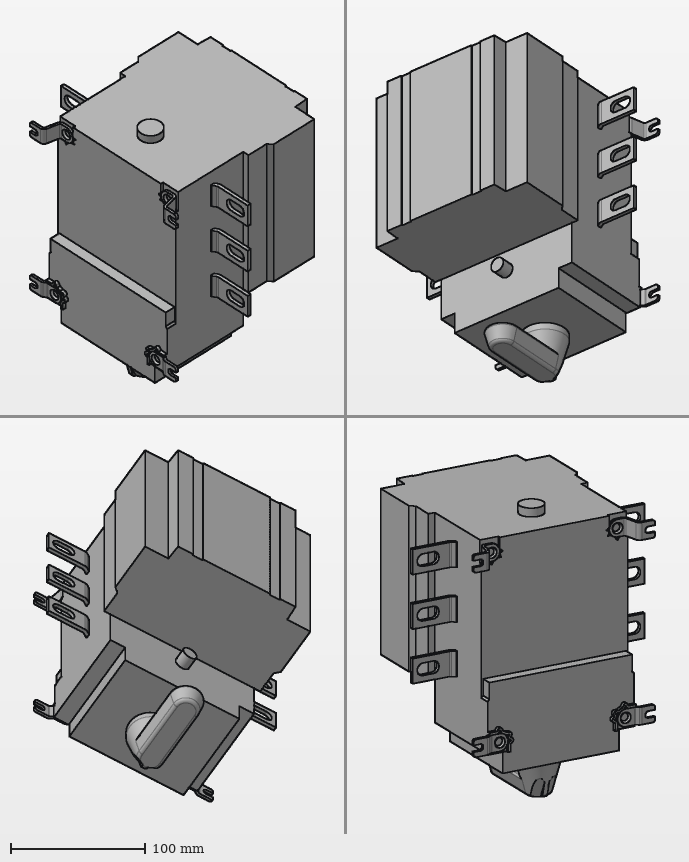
import cadquery as cq
import math


SIDE_X = 125.5 / 2
MECHANISM_X = 50.0
TOP_Z = 184.0
SHOULDER_Z = 17.2
MAIN_FRONT_Y = 9.3
MAIN_BACK_Y = 79.7
COVER_TOP_Z = 74.2
COVER_UPPER_X = 61.3
COVER_SLOPE_Z = (59.2, 60.8)

BLOCK_BOTTOM_Z = 52.2
BLOCK_NECK_X = 68.3
BLOCK_X = 144.5 / 2
BLOCK_CHAMFER_Y = (98.5, 102.4)
BLOCK_BACK_Y = 144.5
BACK_ROOT_X = 52.0
BACK_X = 51.3
BACK_Y = 157.5
BACK_GROOVE_X = (29.3, 38.0)
BACK_GROOVE_DEPTH = 1.0

STUD_RADIUS = 10.0
STUD_TOP_Z = 191.0
STUD_Y = 44.5

TERMINAL_PITCH = 43.3
TERMINAL_MIDDLE_Z = 118.0
TERMINAL_WIDTH = 20.0
TERMINAL_THICKNESS = 3.2
TERMINAL_TIP_X = 198.5 / 2
TERMINAL_BACK_Y = 51.5
TERMINAL_BEND_X = 68.0
TERMINAL_BEND_RADIUS = 2.7
TERMINAL_BEND_ANGLE = math.radians(34)
TERMINAL_END_Y = 45.8
TERMINAL_SLOT_LENGTH = 18.5
TERMINAL_SLOT_WIDTH = 10.0
TERMINAL_SLOT_X = 86.2

FOOT_X = 107.8 / 2
UPPER_FOOT_Z = 173.0
LOWER_FOOT_Z = 26.3
FOOT_THICKNESS = 2.3
FOOT_WIDTH = 14.0
FOOT_TIP_X = 77.8
FOOT_FRONT_Y = -5.5
FOOT_TIP_RADIUS = 2.3
FOOT_BEND_RADIUS = 1.4
FORK_WIDTH = 5.5
FORK_CENTRE_X = 72.2
HOLE_RADIUS = 3.2
COUNTERSINK_RADIUS = 4.3
DEEP_LEG_X = (60.1, 63.5)
SHALLOW_LEG_X = (61.5, 65.1)
NOTCH_TIP_RADIUS = 9.5
NOTCH_HALF_ANGLE = math.radians(33)
NOTCH_ANGLES = (0, 30, 90)
PAD_FRONT_Y = FOOT_FRONT_Y + FOOT_THICKNESS
PAD_WALL = 2.0

SHAFT_RADIUS = 6.0
SHAFT_Z = 35.0
SHAFT_END_Y = 90.8

HANDLE_Y = 34.3
HUB_RADIUS = 36.5 / 2
COLLAR_Z = -5.5
HANDLE_BOTTOM_Z = -35.9
DRAFT = math.radians(15.3)
LEVER_TOP_Z = -21.0
LEVER_END_Y = 84.5
LEVER_TOP_ROUND = 1.4
LEVER_INSET = 0.02
HANDLE_BOTTOM_ROUND = 3.2
POINTER_HALF_WIDTH = 2.0
POINTER_TOP_Z = -20.0
FLAT_TOP_Z = -18.5
FLAT_DEPTH = 2.5
FLAT_ANGLE = 25


def box(x, y, z):
    """Box between the (low, high) pairs of the three axes."""
    size = [high - low for low, high in (x, y, z)]
    return cq.Workplane("XY").box(*size, centered=False).translate((x[0], y[0], z[0]))


def mirrored_outline(half):
    """Closed outline from the points of its +X half."""
    return half + [(-x, y) for x, y in reversed(half)]


def both_sides(shape):
    """A +X feature together with its mirror image."""
    return shape.union(shape.mirror("YZ"))




def main_body():
    body = box((-SIDE_X, SIDE_X), (MAIN_FRONT_Y, MAIN_BACK_Y), (SHOULDER_Z, TOP_Z))
    bottom_end = box((-MECHANISM_X, MECHANISM_X), (0, MAIN_BACK_Y), (0, SHOULDER_Z))
    cover_half = [
        (SIDE_X, SHOULDER_Z),
        (SIDE_X, COVER_SLOPE_Z[0]),
        (COVER_UPPER_X, COVER_SLOPE_Z[1]),
        (COVER_UPPER_X, COVER_TOP_Z),
    ]
    cover = cq.Workplane("XZ").polyline(mirrored_outline(cover_half)).close().extrude(-MAIN_FRONT_Y)
    return body.union(bottom_end).union(cover)


def rear_block():
    groove_floor_y = BACK_Y - BACK_GROOVE_DEPTH
    half = [
        (BLOCK_NECK_X, MAIN_BACK_Y),
        (BLOCK_NECK_X, BLOCK_CHAMFER_Y[0]),
        (BLOCK_X, BLOCK_CHAMFER_Y[1]),
        (BLOCK_X, BLOCK_BACK_Y),
        (BACK_ROOT_X, BLOCK_BACK_Y),
        (BACK_X, BACK_Y),
        (BACK_GROOVE_X[1], BACK_Y),
        (BACK_GROOVE_X[1], groove_floor_y),
        (BACK_GROOVE_X[0], groove_floor_y),
        (BACK_GROOVE_X[0], BACK_Y),
    ]
    outline = cq.Workplane("XY").workplane(offset=BLOCK_BOTTOM_Z).polyline(mirrored_outline(half)).close()
    return outline.extrude(TOP_Z - BLOCK_BOTTOM_Z)


def top_stud():
    base = cq.Workplane("XY").workplane(offset=TOP_Z).center(0, STUD_Y)
    return base.circle(STUD_RADIUS).extrude(STUD_TOP_Z - TOP_Z)


def terminal(z):
    """Slotted flat bar on the +X side, bent forward where it enters the housing."""
    inner_radius = TERMINAL_BEND_RADIUS
    outer_radius = inner_radius + TERMINAL_THICKNESS
    centre_y = TERMINAL_BACK_Y - outer_radius

    def bend_point(radius, angle):
        return TERMINAL_BEND_X - radius * math.sin(angle), centre_y + radius * math.cos(angle)

    slope = math.tan(TERMINAL_BEND_ANGLE)
    root_x = SIDE_X - TERMINAL_THICKNESS
    half_angle = TERMINAL_BEND_ANGLE / 2
    outer = bend_point(outer_radius, TERMINAL_BEND_ANGLE)
    inner = bend_point(inner_radius, TERMINAL_BEND_ANGLE)
    profile = (
        cq.Workplane("XY")
        .moveTo(TERMINAL_TIP_X, TERMINAL_BACK_Y)
        .lineTo(TERMINAL_BEND_X, TERMINAL_BACK_Y)
        .threePointArc(bend_point(outer_radius, half_angle), outer)
        .lineTo(root_x, outer[1] - (outer[0] - root_x) * slope)
        .lineTo(root_x, TERMINAL_END_Y)
        .lineTo(inner[0] - (inner[1] - TERMINAL_END_Y) / slope, TERMINAL_END_Y)
        .lineTo(*inner)
        .threePointArc(bend_point(inner_radius, half_angle), bend_point(inner_radius, 0))
        .lineTo(TERMINAL_TIP_X, centre_y + inner_radius)
        .close()
    )
    bar = profile.extrude(TERMINAL_WIDTH / 2, both=True)
    slot = (
        cq.Workplane("XZ")
        .center(TERMINAL_SLOT_X, 0)
        .slot2D(TERMINAL_SLOT_LENGTH, TERMINAL_SLOT_WIDTH)
        .extrude(-BACK_Y)
    )
    return bar.cut(slot).translate((0, 0, z))


def foot_seat(corner_z, front_y, depth, grow=0):
    """Seat of a +X foot with its hole at Z = 0, open to the side and to the corner at corner_z above it.

    It is a round end with V notches for the turned positions of the foot; grow widens it all round.
    """
    radius = FOOT_WIDTH / 2 + grow
    back_y = front_y + depth
    seat = cq.Workplane("XZ", origin=(FOOT_X, front_y, 0)).circle(radius).extrude(-depth)
    seat = seat.union(box((FOOT_X - radius, SIDE_X), (front_y, back_y), (0, corner_z)))
    seat = seat.union(box((FOOT_X, SIDE_X), (front_y, back_y), (-radius, corner_z)))
    notch_half_width = NOTCH_TIP_RADIUS * math.tan(NOTCH_HALF_ANGLE)
    notch_points = [(-NOTCH_TIP_RADIUS, 0), (0, notch_half_width), (0, -notch_half_width)]
    for angle in NOTCH_ANGLES:
        notch = cq.Workplane("XZ", origin=(FOOT_X, front_y, 0)).polyline(notch_points).close()
        if grow:
            notch = notch.offset2D(grow, "arc")
        notch = notch.extrude(-depth)
        seat = seat.union(notch.rotate((FOOT_X, 0, 0), (FOOT_X, 1, 0), -angle))
    reach = 2 * NOTCH_TIP_RADIUS
    return seat.intersect(box((0, SIDE_X), (front_y, back_y), (-reach, corner_z)))


def upper_seats():
    seat = foot_seat(TOP_Z - UPPER_FOOT_Z, MAIN_FRONT_Y, FOOT_THICKNESS)
    return both_sides(seat.translate((0, 0, UPPER_FOOT_Z)))


def lower_pads():
    """Raised pads on the cover, each with a seat sunk into it."""
    corner_z = LOWER_FOOT_Z - SHOULDER_Z
    pad = foot_seat(corner_z, PAD_FRONT_Y, -PAD_FRONT_Y, PAD_WALL)
    pad = pad.cut(foot_seat(corner_z, PAD_FRONT_Y, FOOT_THICKNESS))
    return both_sides(pad.mirror("XY").translate((0, 0, LOWER_FOOT_Z)))


def make_housing():
    housing = main_body().union(rear_block()).union(top_stud())
    for row in (-1, 0, 1):
        housing = housing.union(both_sides(terminal(TERMINAL_MIDDLE_Z + row * TERMINAL_PITCH)))
    return housing.cut(upper_seats()).union(lower_pads())




def foot_strip(plate_y, leg_x):
    """Plate, leg and fork bent from one strip, still without holes and round ends."""
    lean = math.atan2(plate_y - FOOT_FRONT_Y, leg_x[1] - leg_x[0])
    miter = FOOT_THICKNESS * math.tan(lean / 2)
    front = [
        (FOOT_X - FOOT_WIDTH / 2, plate_y),
        (leg_x[0], plate_y),
        (leg_x[1], FOOT_FRONT_Y),
        (FOOT_TIP_X, FOOT_FRONT_Y),
    ]
    shifts = (0, miter, miter, 0)
    back = [(x + shift, y + FOOT_THICKNESS) for (x, y), shift in zip(front, shifts)]
    strip = cq.Workplane("XY").polyline(front + back[::-1]).close().extrude(FOOT_WIDTH / 2, both=True)

    outer_radius = FOOT_BEND_RADIUS + FOOT_THICKNESS
    bends = (
        (front[1], FOOT_BEND_RADIUS),
        (back[1], outer_radius),
        (front[2], outer_radius),
        (back[2], FOOT_BEND_RADIUS),
    )
    for (x, y), radius in bends:
        strip = strip.edges(cq.NearestToPointSelector((x, y, 0))).fillet(radius)
    return strip


def foot_outline(depth):
    """Prism along Y with the round plate end and the slotted fork of a foot."""
    length = FOOT_TIP_X - FOOT_X
    fork_x = FORK_CENTRE_X - FOOT_X
    half_width = FOOT_WIDTH / 2
    outline = box((FOOT_X, FOOT_TIP_X), (FOOT_FRONT_Y, FOOT_FRONT_Y + depth), (-half_width, half_width))
    outline = outline.edges("|Y and >X").fillet(FOOT_TIP_RADIUS)
    face = cq.Workplane("XZ", origin=(FOOT_X, FOOT_FRONT_Y, 0))
    outline = outline.union(face.circle(half_width).extrude(-depth))
    outline = outline.cut(face.center(fork_x, 0).circle(FORK_WIDTH / 2).extrude(-depth))
    return outline.cut(face.center(fork_x + length / 2, 0).rect(length, FORK_WIDTH).extrude(-depth))


def make_foot(plate_y, leg_x):
    """Fork-ended foot on the +X side with its screw hole at Z = 0.

    plate_y is the plate's front face and leg_x the X of the leg's front surface at plate and fork.
    """
    countersink = cq.Solid.makeCone(
        COUNTERSINK_RADIUS,
        HOLE_RADIUS,
        FOOT_THICKNESS,
        cq.Vector(FOOT_X, plate_y, 0),
        cq.Vector(0, 1, 0),
    )
    outline = foot_outline(plate_y - FOOT_FRONT_Y + FOOT_THICKNESS)
    return foot_strip(plate_y, leg_x).intersect(outline).cut(cq.Workplane(countersink))


def make_feet():
    feet = []
    kinds = (
        (make_foot(MAIN_FRONT_Y, DEEP_LEG_X), UPPER_FOOT_Z),
        (make_foot(PAD_FRONT_Y, SHALLOW_LEG_X), LOWER_FOOT_Z),
    )
    for foot, z in kinds:
        right_foot = foot.translate((0, 0, z))
        feet.append(right_foot.val())
        feet.append(right_foot.mirror("YZ").val())
    return feet




def make_shaft():
    base = cq.Workplane("XZ", origin=(0, MAIN_BACK_Y, SHAFT_Z)).circle(SHAFT_RADIUS)
    return base.extrude(MAIN_BACK_Y - SHAFT_END_Y)


def hub_radius(z):
    """Radius of the drafted hub at height z below the collar."""
    return HUB_RADIUS - (COLLAR_Z - z) * math.tan(DRAFT)


def round_hub():
    bottom_radius = hub_radius(HANDLE_BOTTOM_Z)
    outline = [
        (0, 0),
        (HUB_RADIUS, 0),
        (HUB_RADIUS, COLLAR_Z),
        (bottom_radius, HANDLE_BOTTOM_Z),
        (0, HANDLE_BOTTOM_Z),
    ]
    solid = cq.Workplane("XZ").polyline(outline).close().revolve(360, (0, 0), (0, 1))
    return solid.faces("<Z").edges().fillet(HANDLE_BOTTOM_ROUND).translate((0, HANDLE_Y, 0))


def hub_flat():
    """Cutter for the flat on the +X side of the pointer.

    Its face touches the hub at the top and goes deeper toward the bottom.
    """
    radius = hub_radius(FLAT_TOP_Z)
    corners = [(-radius, -radius), (radius, -radius), (radius, -2 * radius), (-radius, -2 * radius)]
    outline = cq.Wire.makePolygon([cq.Vector(x, y, 0) for x, y in corners], close=True)
    run = radius - hub_radius(HANDLE_BOTTOM_Z) + FLAT_DEPTH
    cutter = cq.Solid.extrudeLinear(outline, [], cq.Vector(0, run, HANDLE_BOTTOM_Z - FLAT_TOP_Z))
    cutter = cutter.rotate(cq.Vector(0, 0, 0), cq.Vector(0, 0, 1), FLAT_ANGLE)
    return cq.Workplane(cutter.translate(cq.Vector(0, HANDLE_Y, FLAT_TOP_Z)))


def pointer():
    """Narrow prism with a pointed top, inside which the hub keeps its round surface."""
    shoulder_z = POINTER_TOP_Z - POINTER_HALF_WIDTH
    half = [(POINTER_HALF_WIDTH, HANDLE_BOTTOM_Z), (POINTER_HALF_WIDTH, shoulder_z)]
    outline = [*half, (0, POINTER_TOP_Z), *[(-x, z) for x, z in half[::-1]]]
    return cq.Workplane("XZ", origin=(0, HANDLE_Y, 0)).polyline(outline).close().extrude(2 * HUB_RADIUS)


def lever():
    """Round-ended bar behind the hub axis, drafted like the hub."""
    reach = LEVER_END_Y - HANDLE_Y
    radius = hub_radius(LEVER_TOP_Z) - LEVER_INSET
    bar = (
        cq.Workplane("XY")
        .workplane(offset=LEVER_TOP_Z)
        .center(0, HANDLE_Y + reach / 2)
        .slot2D(reach + 2 * radius, 2 * radius, 90)
        .extrude(HANDLE_BOTTOM_Z - LEVER_TOP_Z, taper=math.degrees(DRAFT))
    )
    bar = bar.faces("<Z").edges().fillet(HANDLE_BOTTOM_ROUND).faces(">Z").edges().fillet(LEVER_TOP_ROUND)
    behind_axis = box((-radius, radius), (HANDLE_Y, LEVER_END_Y + radius), (HANDLE_BOTTOM_Z, LEVER_TOP_Z))
    return bar.intersect(behind_axis)


def make_handle():
    hub = round_hub().cut(both_sides(hub_flat()).cut(pointer()))
    return hub.union(lever())


housing = make_housing()
feet = make_feet()
shaft = make_shaft()
handle = make_handle()

result = cq.Compound.makeCompound([housing.val(), *feet, shaft.val(), handle.val()])